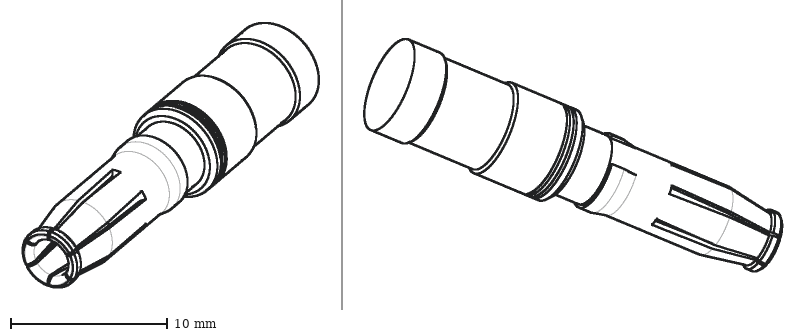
import cadquery as cq
import math

OVERALL_LENGTH = 28.25

FLANGE_RADIUS = 6.3 / 2
WAIST_RADIUS = 5.9 / 2
NECK_RADIUS = 4.8 / 2
SLEEVE_RADIUS = 4.75 / 2
TIP_NECK_RADIUS = 1.85
BEAD_RADIUS = 2.05

TIP_NECK_Y = 0.8
CONE_START_Y = 4.0
SLOT_END_Y = 8.45
NECK_START_Y = 13.05
FRONT_FLANGE_START_Y = 15.35
FRONT_FLANGE_END_Y = 20.53
REAR_FLANGE_START_Y = OVERALL_LENGTH - 2.35

FLANGE_STEP = FLANGE_RADIUS - WAIST_RADIUS
FRONT_CHAMFER = 0.35

BEAD_REAR_Y = 0.65
BEAD_EDGE = 0.2

BORE_RADIUS = 3.8 / 2
BORE_THROAT_RADIUS = 1.33
MOUTH_ROUNDING = 0.43
BORE_END_Y = SLOT_END_Y

GROOVE_CENTERS_Y = (16.25, 16.75)
GROOVE_RADIUS = 0.11

SLOT_COUNT = 6
SLOT_FIRST_ANGLE = 30
SLOT_END_WIDTH = 0.6
SLOT_TIP_WIDTH = 0.15

COLLAR_RADIUS = 2.58
COLLAR_SETBACK = 0.09
COLLAR_REAR_Y = NECK_START_Y - COLLAR_SETBACK
COLLAR_LAND_Y = 12.04
COLLAR_FRONT_Y = 11.05
COLLAR_GAP_ANGLE = 60


def revolve_about_y(points):
    """Revolve a closed (radius, y) outline about the Y axis, with the seam at -X."""
    outline = [(-radius, y) for radius, y in points]
    return cq.Workplane("XY").polyline(outline).close().revolve(360, (0, 0, 0), (0, 1, 0))


def make_body():
    return revolve_about_y([
        (0, 0),
        (BEAD_RADIUS - BEAD_EDGE, 0),
        (BEAD_RADIUS, BEAD_EDGE),
        (BEAD_RADIUS, BEAD_REAR_Y),
        (TIP_NECK_RADIUS, TIP_NECK_Y),
        (SLEEVE_RADIUS, CONE_START_Y),
        (SLEEVE_RADIUS, NECK_START_Y),
        (NECK_RADIUS, NECK_START_Y),
        (NECK_RADIUS, FRONT_FLANGE_START_Y),
        (FLANGE_RADIUS - FRONT_CHAMFER, FRONT_FLANGE_START_Y),
        (FLANGE_RADIUS, FRONT_FLANGE_START_Y + FRONT_CHAMFER),
        (FLANGE_RADIUS, FRONT_FLANGE_END_Y),
        (WAIST_RADIUS, FRONT_FLANGE_END_Y + FLANGE_STEP),
        (WAIST_RADIUS, REAR_FLANGE_START_Y - FLANGE_STEP),
        (FLANGE_RADIUS, REAR_FLANGE_START_Y),
        (FLANGE_RADIUS, OVERALL_LENGTH),
        (0, OVERALL_LENGTH),
    ])


def make_bore():
    arc_inset = MOUTH_ROUNDING * (1 - math.sqrt(0.5))
    outline = (
        cq.Workplane("XY")
        .moveTo(0, 0)
        .lineTo(-BORE_THROAT_RADIUS - MOUTH_ROUNDING, 0)
        .threePointArc((-BORE_THROAT_RADIUS - arc_inset, arc_inset), (-BORE_THROAT_RADIUS, MOUTH_ROUNDING))
        .lineTo(-BORE_RADIUS, CONE_START_Y)
        .lineTo(-BORE_RADIUS, BORE_END_Y)
        .lineTo(0, BORE_END_Y)
        .close()
    )
    return outline.revolve(360, (0, 0, 0), (0, 1, 0))


def make_groove(center_y):
    return cq.Workplane("XY").add(
        cq.Solid.makeTorus(FLANGE_RADIUS, GROOVE_RADIUS, cq.Vector(0, center_y, 0), cq.Vector(0, 1, 0))
    )


def make_slot(angle):
    """Radial slot whose width narrows from the root of the fingers to the tip."""
    outline = [
        (-SLOT_TIP_WIDTH / 2, 0),
        (SLOT_TIP_WIDTH / 2, 0),
        (SLOT_END_WIDTH / 2, SLOT_END_Y),
        (-SLOT_END_WIDTH / 2, SLOT_END_Y),
    ]
    slot = cq.Workplane("XY").polyline(outline).close().extrude(FLANGE_RADIUS)
    return slot.rotate((0, 0, 0), (0, 1, 0), 90 - angle)


def make_collar():
    ring = revolve_about_y([
        (BORE_RADIUS, COLLAR_FRONT_Y),
        (SLEEVE_RADIUS, COLLAR_FRONT_Y),
        (COLLAR_RADIUS, COLLAR_LAND_Y),
        (COLLAR_RADIUS, COLLAR_REAR_Y),
        (BORE_RADIUS, COLLAR_REAR_Y),
    ])
    reach = 2 * COLLAR_RADIUS
    half_opening = reach * math.tan(math.radians(COLLAR_GAP_ANGLE / 2))
    gap = (
        cq.Workplane("XZ", origin=(0, COLLAR_REAR_Y, 0))
        .polyline([(0, 0), (-reach, half_opening), (-reach, -half_opening)])
        .close()
        .extrude(COLLAR_REAR_Y - COLLAR_FRONT_Y)
    )
    return ring.cut(gap)


result = make_body().union(make_collar()).cut(make_bore())
for groove_y in GROOVE_CENTERS_Y:
    result = result.cut(make_groove(groove_y))
for slot_index in range(SLOT_COUNT):
    result = result.cut(make_slot(SLOT_FIRST_ANGLE + slot_index * 360 / SLOT_COUNT))